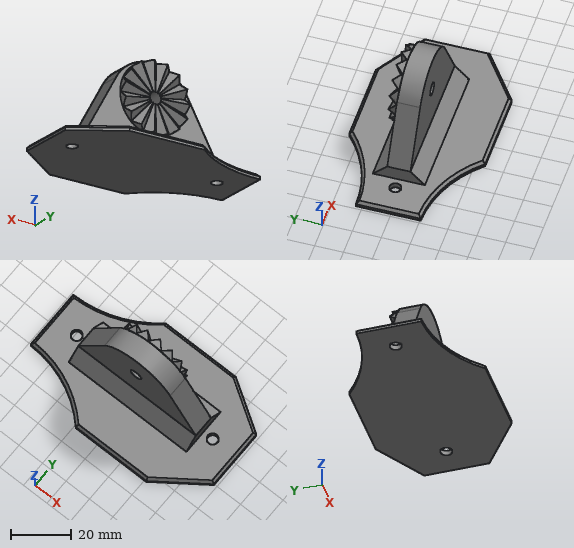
import cadquery as cq
import math

plate_length = 78.0
plate_width = 47.0
plate_thickness = 2.0
plate_chamfer = 1.0
left_corner_x = -9.1
right_corner_x = 21.0
end_edge_low_y = -10.4
end_edge_high_y = 12.1
mount_hole_diameter = 4.0
mount_hole_spacing = 57.9

lug_y = 1.5
lug_thickness = 8.0
lug_length = 50.1
lug_arc_radius = 16.0
foot_top_z = 7.0
total_height = 35.1
foot_flare = foot_top_z - plate_thickness
lug_face_y = lug_y + lug_thickness / 2

pivot_x = -0.5
pivot_z = 22.0
pivot_diameter = 4.5
crown_diameter = 26.0
tooth_count = 15
valley_height = 0.3
peak_height = 3.1
embed = 0.4


def tangent_arc_middle(start, end):
    """Middle point of an arc leaving start along X and finishing at end."""
    dx = end[0] - start[0]
    dy = end[1] - start[1]
    radius = (dx**2 + dy**2) / (2 * dy)
    half_angle = math.atan2(dy, dx)
    return (
        start[0] + radius * math.sin(half_angle),
        start[1] + radius * (1 - math.cos(half_angle)),
    )


def make_plate():
    end_x = plate_length / 2
    side_y = plate_width / 2
    low_left = (-end_x, end_edge_low_y)
    high_left = (-end_x, end_edge_high_y)
    low_waist = (left_corner_x, -side_y)
    high_waist = (left_corner_x, side_y)
    plate = (
        cq.Workplane("XY")
        .moveTo(*high_left)
        .threePointArc(tangent_arc_middle(high_left, high_waist), high_waist)
        .lineTo(right_corner_x, side_y)
        .lineTo(end_x, end_edge_high_y)
        .lineTo(end_x, end_edge_low_y)
        .lineTo(right_corner_x, -side_y)
        .lineTo(*low_waist)
        .threePointArc(tangent_arc_middle(low_left, low_waist), low_left)
        .close()
        .extrude(plate_thickness)
        .faces(">Z")
        .chamfer(plate_chamfer)
    )
    hole_points = [(-mount_hole_spacing / 2, lug_y), (mount_hole_spacing / 2, lug_y)]
    holes = (
        cq.Workplane("XY").pushPoints(hole_points)
        .circle(mount_hole_diameter / 2).extrude(plate_thickness)
    )
    return plate.cut(holes)


def make_foot():
    half_top = lug_thickness / 2
    half_bottom = half_top + foot_flare
    return (
        cq.Workplane("YZ", origin=(0, lug_y, 0))
        .moveTo(-half_bottom, plate_thickness)
        .lineTo(half_bottom, plate_thickness)
        .lineTo(half_top, foot_top_z)
        .lineTo(-half_top, foot_top_z)
        .close()
        .extrude(lug_length / 2, both=True)
    )


def make_lug():
    half_length = lug_length / 2
    arc_center_z = total_height - lug_arc_radius
    rise = foot_top_z - arc_center_z
    corner_distance = math.hypot(half_length, rise)
    tangent_angle = math.atan2(rise, half_length) + math.acos(lug_arc_radius / corner_distance)
    tangent_x = lug_arc_radius * math.cos(tangent_angle)
    tangent_z = arc_center_z + lug_arc_radius * math.sin(tangent_angle)
    return (
        cq.Workplane("XZ", origin=(0, lug_y, 0))
        .moveTo(-half_length, foot_top_z)
        .lineTo(half_length, foot_top_z)
        .lineTo(tangent_x, tangent_z)
        .threePointArc((0, total_height), (-tangent_x, tangent_z))
        .close()
        .extrude(lug_thickness / 2, both=True)
    )


def make_tooth(peak_angle):
    """Radial tooth whose ridge and valleys all meet on the pivot axis."""
    oversize = 1.2
    reach = oversize * crown_diameter / 2
    half_pitch = math.pi / tooth_count
    axis_height = (peak_height + valley_height) / 2

    def rim_point(angle, height):
        return cq.Vector(
            pivot_x + reach * math.cos(angle),
            lug_face_y + height,
            pivot_z + reach * math.sin(angle),
        )

    peak_reach_height = axis_height + oversize * (peak_height - axis_height)
    valley_reach_height = axis_height + oversize * (valley_height - axis_height)
    start_angle = peak_angle - half_pitch
    end_angle = peak_angle + half_pitch
    root = cq.Vector(pivot_x, lug_face_y - embed, pivot_z)
    apex = cq.Vector(pivot_x, lug_face_y + axis_height, pivot_z)
    start_low = rim_point(start_angle, -embed)
    peak_low = rim_point(peak_angle, -embed)
    end_low = rim_point(end_angle, -embed)
    start_top = rim_point(start_angle, valley_reach_height)
    peak_top = rim_point(peak_angle, peak_reach_height)
    end_top = rim_point(end_angle, valley_reach_height)
    outlines = [
        [root, start_low, peak_low, end_low],
        [apex, start_top, peak_top],
        [apex, peak_top, end_top],
        [root, start_low, start_top, apex],
        [root, end_low, end_top, apex],
        [start_low, peak_low, peak_top, start_top],
        [peak_low, end_low, end_top, peak_top],
    ]
    faces = [cq.Face.makeFromWires(cq.Wire.makePolygon(points, close=True)) for points in outlines]
    return cq.Workplane(obj=cq.Solid.makeSolid(cq.Shell.makeShell(faces)))


def pivot_cylinder(diameter, start_y, end_y):
    return (
        cq.Workplane("XZ", origin=(pivot_x, start_y, pivot_z))
        .circle(diameter / 2)
        .extrude(start_y - end_y)
    )


def make_crown():
    crown = pivot_cylinder(crown_diameter, lug_face_y - embed, lug_face_y + peak_height)
    teeth = make_tooth(math.pi)
    for index in range(1, tooth_count):
        teeth = teeth.union(make_tooth(math.pi + index * 2 * math.pi / tooth_count))
    return crown.intersect(teeth)


pivot_hole = pivot_cylinder(pivot_diameter, lug_y - lug_thickness, lug_face_y + peak_height)
result = make_plate().union(make_foot()).union(make_lug()).union(make_crown()).cut(pivot_hole)